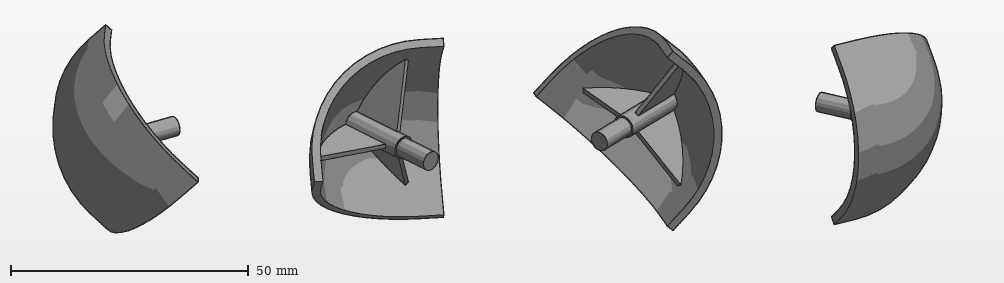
import cadquery as cq
import math

outer_radius = 25.0
wall = 1.8
inner_radius = outer_radius - wall
rim_extension = outer_radius / 5

stem_diameter = 4.2
collar_diameter = 5.0
stem_end_y = 0.8
stem_length = 8.45
collar_end_y = stem_end_y - stem_length

rib_count = 3
rib_thickness = 1.0
rib_start_y = -10.6
rib_slope = math.tan(math.radians(20))


def cube_direction(angle):
    """Cube edge direction at the given angle about the body diagonal."""
    spread = math.sqrt(2 / 3)
    turn = math.radians(angle)
    return cq.Vector(spread * math.cos(turn), -1 / math.sqrt(3), spread * math.sin(turn))


def rounded_corner(radius):
    """Cube corner with its three meeting edges rounded, turned to point along -Y."""
    side = radius + rim_extension
    corner = (
        cq.Workplane("XY")
        .box(side, side, side, centered=False)
        .translate((-rim_extension, -rim_extension, -rim_extension))
        .edges("(|X and >Y and >Z) or (|Y and >X and >Z) or (|Z and >X and >Y)")
        .fillet(radius)
    )
    frame = cq.Plane(origin=(0, 0, 0), xDir=cube_direction(0), normal=cube_direction(240))
    return cq.Workplane(corner.val().moved(cq.Location(frame)))


def cylinder_along_y(diameter, start_y, end_y):
    return (
        cq.Workplane("XZ", origin=(0, start_y, 0))
        .circle(diameter / 2)
        .extrude(start_y - end_y)
    )


def rib(angle):
    """Gusset from the axis outward; its far part is trimmed by the shell."""
    axis_y = rib_start_y + rib_slope * collar_diameter / 2
    reach = outer_radius
    gusset = (
        cq.Workplane("XY")
        .moveTo(0, -outer_radius)
        .lineTo(0, axis_y)
        .lineTo(reach, axis_y - rib_slope * reach)
        .lineTo(reach, -outer_radius)
        .close()
        .extrude(rib_thickness / 2, both=True)
    )
    return gusset.rotate((0, 0, 0), (0, 1, 0), angle)


outer_body = rounded_corner(outer_radius)
cavity = rounded_corner(inner_radius)
shell = outer_body.cut(cavity)

root_y = -inner_radius - wall / 2
collar = cylinder_along_y(collar_diameter, root_y, collar_end_y)
stem = cylinder_along_y(stem_diameter, collar_end_y, stem_end_y)

result = shell.union(collar).union(stem)
for index in range(rib_count):
    result = result.union(rib(index * 360 / rib_count).intersect(outer_body))